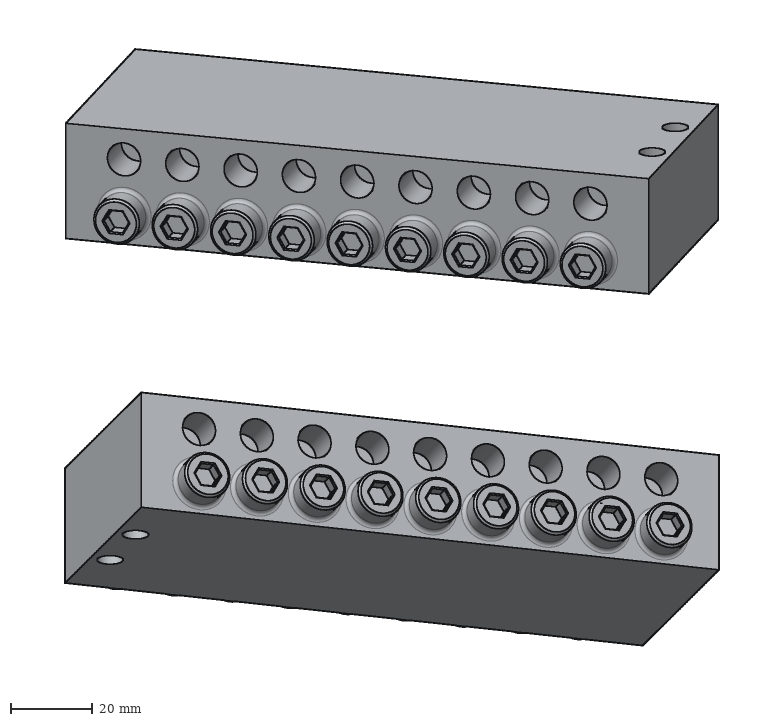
import cadquery as cq

length = 150.0
width = 60.0
height = 30.0
overall_width = 74.0

station_count = 9
station_pitch = length / (station_count + 1)
station_places = [(i + 1) * station_pitch - length / 2 for i in range(station_count)]

port_diameter = 8.5
port_depth = 12.0
port_z = 22.0

screw_z = 8.0
head_diameter = 11.7
head_length = (overall_width - width) / 2
head_chamfer = 0.6
foot_fillet = 1.0

socket_flats = 5.5
socket_depth = 4.0
mouth_chamfer_width = 0.3
mouth_chamfer_depth = 0.5

mount_diameter = 6.5
mount_edge_distance = 5.1
mount_spacing = 20.0


def make_block():
    block = cq.Workplane("XY").box(length, width, height, centered=(True, True, False))
    mount_x = length / 2 - mount_edge_distance
    mount_holes = (
        cq.Workplane("XY")
        .pushPoints([(mount_x, -mount_spacing / 2), (mount_x, mount_spacing / 2)])
        .circle(mount_diameter / 2)
        .extrude(height)
    )
    return block.cut(mount_holes)


def make_head_body():
    """Turned head on the Y axis, foot at Y = 0 and end face at Y = head_length."""
    head_radius = head_diameter / 2
    foot_radius = head_radius + foot_fillet
    arc_offset = foot_fillet * (1 - 0.5**0.5)
    return (
        cq.Workplane("XY")
        .lineTo(foot_radius, 0)
        .threePointArc((head_radius + arc_offset, arc_offset), (head_radius, foot_fillet))
        .lineTo(head_radius, head_length - head_chamfer)
        .lineTo(head_radius - head_chamfer, head_length)
        .lineTo(0, head_length)
        .close()
        .revolve(360, (0, 0), (0, 1))
    )


def make_screw_head():
    """One head with its socket, pointing to +Y."""
    corners_per_flats = 2 / 3**0.5
    mouth_flats = socket_flats + 2 * mouth_chamfer_width
    end_face = cq.Workplane("XZ", origin=(0, head_length, 0))
    socket = end_face.polygon(6, socket_flats * corners_per_flats).extrude(socket_depth)
    mouth = (
        end_face.polygon(6, mouth_flats * corners_per_flats)
        .workplane(offset=mouth_chamfer_depth)
        .polygon(6, socket_flats * corners_per_flats)
        .loft(ruled=True)
    )
    return make_head_body().cut(socket).cut(mouth)


def make_port():
    """Cutter for one port, running from Y = 0 towards -Y."""
    return cq.Workplane("XZ").circle(port_diameter / 2).extrude(port_depth)


def add_stations(block):
    """Fit a screw head and a port at every station on both long sides."""
    head = make_screw_head()
    port = make_port()
    for x in station_places:
        for side, turn in ((1, 0), (-1, 180)):
            placed_head = head.rotate((0, 0, 0), (0, 0, 1), turn)
            placed_port = port.rotate((0, 0, 0), (0, 0, 1), turn)
            face_y = side * width / 2
            block = block.union(placed_head.translate((x, face_y, screw_z)))
            block = block.cut(placed_port.translate((x, face_y, port_z)))
    return block


result = add_stations(make_block())